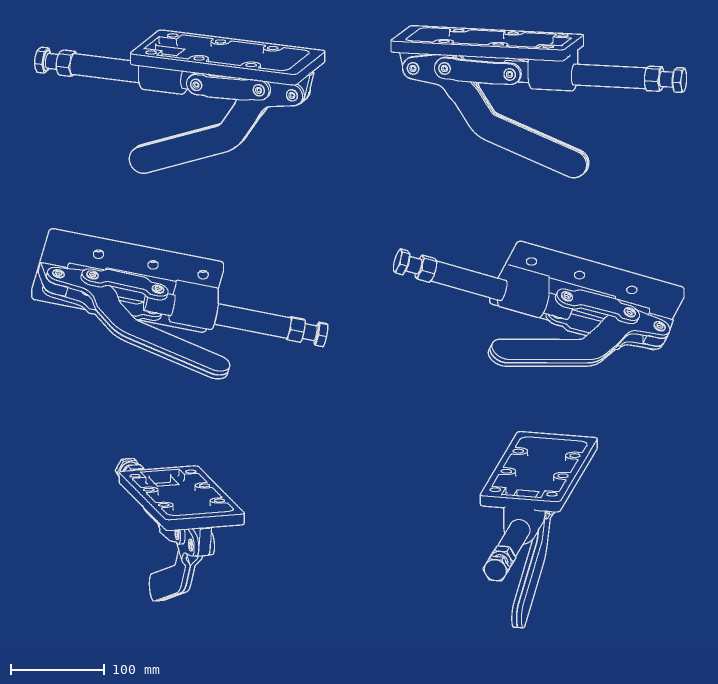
import cadquery as cq
import math


hex_flats = 24.2
hex_corners = hex_flats / math.cos(math.pi / 6)
head_length = 9.0
collar_radius = 11.0
collar_length = 2.0
collar_chamfer = 1.0
shank_radius = 8.2
nut_start = 24.8
nut_length = 15.7
hex_end_radius = 12.0
hex_end_clearance = 0.3
head_chamfer = 1.0
nut_chamfer = 1.3
plunger_radius = 11.3
plunger_overrun = 9.5

plate_start = 121.0
plate_length = 191.8
plate_width = 88.0
plate_top = 35.0
plate_thickness = 12.5
plate_bottom = plate_top - plate_thickness
plate_end = plate_start + plate_length
plate_corner = 5.0
casting_fillet = 2.0
hole_diameter = 11.0
hole_columns = (141.5, 196.5, 256.5)
hole_row = 30.9

pocket_start = 150.0
pocket_end = 299.0
pocket_half_width = 36.7
pocket_depth = 7.0
pocket_corner = 10.0
hole_wall_radius = 10.0
neck_start = 129.5
neck_half_width = 21.3
well_end = 163.2
well_half_width = 12.0
well_depth = 7.0

block_length = 46.5
block_radius = 17.73
block_end = plate_start + block_length
pad_bottom = 17.5
wide_pad_end = 244.5
wide_pad_half_width = 15.7
narrow_pad_half_width = 12.5
narrow_pad_end = 284.7
bracket_start = 283.7
bracket_end = 314.0
bracket_radius = 12.5
overlap = 3.0

plunger_pivot = (187.7, 0.0)
link_pivot = (259.5, 2.8)
bracket_pivot = (295.5, 0.0)
pin_head_radius = 6.3
pin_head_height = 1.3
pin_socket_radius = 3.5
pin_socket_depth = 3.0

leaf_thickness = 5.0
leaf_gap = 0.5
arm_inner = leaf_gap / 2
fork_inner = 6.3
fork_outer = fork_inner + leaf_thickness
grip_radius = 14.8
grip_end = (120.8, -96.7)
elbow = (219.0, -59.0)
neck_angle = math.radians(56.8)
elbow_radius = 11.0
crook_radius = 15.7
belly_angle = math.radians(9)
fold_start = 37.5
fold_length = 9.7
fold_bend_radius = 3.8
tail_radius = 12.0
link_radius = 11.3
link_end_outer = fork_outer + leaf_thickness
link_bulge = 4.5
bulge_start = 8.8
bulge_end = 62.0
bulge_rise = 6.3
link_bend_radius = 2.5
sheet_reach = 251.0


def box(x0, x1, half_width, z0, z1):
    """Block centred on Y = 0."""
    size = (x1 - x0, 2 * half_width, z1 - z0)
    return cq.Workplane("XY").box(*size, centered=(False, True, False)).translate((x0, 0, z0))


def rod(x0, x1, radius):
    return cq.Workplane("YZ", origin=(x0, 0, 0)).circle(radius).extrude(x1 - x0)


def hexagon(x0, length, chamfer_start, chamfer_end):
    """Hexagonal prism whose corners are turned down at either end."""
    blank_radius = hex_corners / 2 + hex_end_clearance
    blank = rod(x0, x0 + length, blank_radius)
    drop = blank_radius - hex_end_radius
    if chamfer_start:
        blank = blank.faces("<X").chamfer(chamfer_start, drop)
    if chamfer_end:
        blank = blank.faces(">X").chamfer(chamfer_end, drop)
    prism = cq.Workplane("YZ", origin=(x0, 0, 0)).polygon(6, hex_corners).extrude(length)
    return prism.intersect(blank)


def make_plunger():
    head = hexagon(0, head_length, head_chamfer, 0)
    collar_end = head_length + collar_length
    collar = rod(head_length, collar_end, collar_radius)
    collar = collar.faces(">X").chamfer(collar_chamfer, collar_radius - shank_radius)
    shank = rod(collar_end, nut_start, shank_radius)
    nut = hexagon(nut_start, nut_length, nut_chamfer, nut_chamfer)
    bar = rod(nut_start + nut_length, plunger_pivot[0] + plunger_overrun, plunger_radius)
    return head.union(collar).union(shank).union(nut).union(bar)


def make_pocket():
    """Solid removed from the plate top, leaving a wall round each screw hole."""
    floor = plate_top - pocket_depth
    main = box(pocket_start, pocket_end, pocket_half_width, floor, plate_top)
    main = main.edges("|Z and >X").fillet(pocket_corner)
    neck = box(neck_start, pocket_start + overlap, neck_half_width, floor, plate_top)
    pocket = main.union(neck)
    web_length = plate_width / 2 - hole_row
    for x in hole_columns[1:]:
        for side in (-1, 1):
            wall = cq.Workplane("XY", origin=(x, side * hole_row, floor)).circle(hole_wall_radius)
            web = box(x - hole_wall_radius, x + hole_wall_radius, web_length / 2, floor, plate_top)
            web = web.translate((0, side * (hole_row + web_length / 2), 0))
            pocket = pocket.cut(wall.extrude(pocket_depth)).cut(web)
    margin = casting_fillet / 2
    for side in (-1, 1):
        wall_corners = cq.selectors.BoxSelector(
            (pocket_start - margin, side * (pocket_half_width - margin), floor),
            (hole_columns[-1] + pocket_corner + margin, side * (pocket_half_width + margin), plate_top),
        )
        pocket = pocket.edges("|Z").edges(wall_corners).fillet(casting_fillet)
    return pocket.faces("<Z").edges().fillet(casting_fillet)


def make_pad(x0, x1, half_width):
    pad = box(x0, x1, half_width, pad_bottom, plate_bottom)
    return pad.edges("<Z or (|Z and >X)").fillet(casting_fillet)


def make_base():
    plate = box(plate_start, plate_end, plate_width / 2, plate_bottom, plate_top)
    plate = plate.edges("|Z").fillet(plate_corner)
    plate = plate.faces("<Z").edges().fillet(casting_fillet)
    block = box(plate_start, block_end, block_radius, 0, plate_top - pocket_depth)
    block = block.union(rod(plate_start, block_end, block_radius))
    block = block.faces("<X or >X").edges("not >Z").fillet(casting_fillet)
    wide_pad = make_pad(block_end - overlap, wide_pad_end, wide_pad_half_width)
    narrow_pad = make_pad(wide_pad_end - overlap, narrow_pad_end, narrow_pad_half_width)
    base = plate.union(block).union(wide_pad).union(narrow_pad)
    base = base.cut(make_pocket())
    well = box(neck_start, well_end, well_half_width, plate_top - pocket_depth - well_depth, plate_top)
    base = base.cut(well.faces("<Z").edges("not <X").fillet(casting_fillet))
    holes = cq.Workplane("XY", origin=(0, 0, plate_bottom))
    holes = holes.pushPoints([(x, side * hole_row) for x in hole_columns for side in (-1, 1)])
    return base.cut(holes.circle(hole_diameter / 2).extrude(plate_thickness))


def direction(angle):
    return (math.cos(angle), math.sin(angle))


def offset(point, angle, distance):
    """Point reached from another by going a distance at an angle in the XZ plane."""
    ux, uz = direction(angle)
    return (point[0] + distance * ux, point[1] + distance * uz)


def meet(point_a, angle_a, point_b, angle_b):
    """Crossing of two lines in the XZ plane, each given by a point and an angle."""
    ax, az = direction(angle_a)
    bx, bz = direction(angle_b)
    dx = point_b[0] - point_a[0]
    dz = point_b[1] - point_a[1]
    return offset(point_a, angle_a, (dx * bz - dz * bx) / (ax * bz - az * bx))


def angle_between(start, end):
    return math.atan2(end[1] - start[1], end[0] - start[0])


def near(point):
    """Selects the edge closest to a point of the XZ plane."""
    return cq.selectors.NearestToPointSelector((point[0], 0, point[1]))


def make_bracket():
    """Lug between the handle leaves, rounded about the fixed pivot."""
    x, z = bracket_pivot
    tip = (bracket_end, plate_bottom)
    reach = math.dist(tip, bracket_pivot)
    tangent_normal = angle_between(bracket_pivot, tip) - math.acos(bracket_radius / reach)
    middle_normal = (tangent_normal - math.pi / 2) / 2
    lug = (
        cq.Workplane("XZ")
        .moveTo(bracket_start, plate_bottom)
        .lineTo(*tip)
        .lineTo(*offset(bracket_pivot, tangent_normal, bracket_radius))
        .threePointArc(offset(bracket_pivot, middle_normal, bracket_radius), (x, z - bracket_radius))
        .lineTo(bracket_start, z - bracket_radius)
        .close()
    )
    return lug.extrude(fork_inner, both=True)


def bent_leaf(outline, origin, angle, stations, bend_radius):
    """Mirrored pair of bent sheets cut to an outline; stations are (distance, inner Y) along the sheet."""
    along, up = direction(angle)
    plane = cq.Plane(origin=(origin[0], 0, origin[1]), xDir=(along, 0, up), normal=(-up, 0, along))
    middle = [plane.toWorldCoords((distance, y + leaf_thickness / 2)) for distance, y in stations]
    middle_wire = cq.Wire.makePolygon(middle)
    bends = middle_wire.Vertices()
    middle_wire = middle_wire.fillet(bend_radius + leaf_thickness / 2, bends[1:-1])
    section = middle_wire.offset2D(leaf_thickness / 2)[0]
    sheet = cq.Workplane(plane).add(section).toPending().extrude(sheet_reach, both=True)
    leaf = sheet.intersect(outline)
    return leaf.union(leaf.mirror("XZ"))


def make_handle_outline():
    """Handle seen from the side: round grip, elbow, neck and a head about two pivots."""
    quarter = math.pi / 2
    grip_angle = angle_between(grip_end, elbow)
    grip_top = offset(grip_end, grip_angle + quarter, grip_radius)
    grip_tip = offset(grip_end, grip_angle + math.pi, grip_radius)
    grip_bottom = offset(grip_end, grip_angle - quarter, grip_radius)
    neck_left = offset(elbow, neck_angle + quarter, grip_radius)
    neck_right = offset(elbow, neck_angle - quarter, grip_radius)
    inner_elbow = meet(grip_top, grip_angle, neck_left, neck_angle)
    outer_elbow = meet(grip_bottom, grip_angle, neck_right, neck_angle)

    crown_foot = meet(neck_left, neck_angle, link_pivot, neck_angle + quarter)
    crown_radius = math.dist(crown_foot, link_pivot)
    pivot_spacing = math.dist(link_pivot, bracket_pivot)
    ridge_normal = angle_between(link_pivot, bracket_pivot)
    ridge_normal += math.acos((crown_radius - tail_radius) / pivot_spacing)
    crown_middle = (neck_angle + quarter + ridge_normal) / 2
    belly_normal = belly_angle - quarter
    tail_bottom = offset(bracket_pivot, belly_normal, tail_radius)
    crook = meet(tail_bottom, belly_angle, neck_right, neck_angle)

    outline = (
        cq.Workplane("XZ")
        .moveTo(*grip_bottom)
        .threePointArc(grip_tip, grip_top)
        .lineTo(*inner_elbow)
        .lineTo(*crown_foot)
        .threePointArc(
            offset(link_pivot, crown_middle, crown_radius),
            offset(link_pivot, ridge_normal, crown_radius),
        )
        .lineTo(*offset(bracket_pivot, ridge_normal, tail_radius))
        .threePointArc(
            offset(bracket_pivot, (ridge_normal + belly_normal) / 2, tail_radius),
            tail_bottom,
        )
        .lineTo(*crook)
        .lineTo(*outer_elbow)
        .close()
        .extrude(link_end_outer, both=True)
    )
    corners = (
        (inner_elbow, elbow_radius),
        (outer_elbow, elbow_radius + 2 * grip_radius),
        (crook, crook_radius),
    )
    for corner, radius in corners:
        outline = outline.edges("|Y").edges(near(corner)).fillet(radius)
    return outline


def make_handle():
    stations = [
        (-sheet_reach, arm_inner),
        (fold_start, arm_inner),
        (fold_start + fold_length, fork_inner),
        (sheet_reach, fork_inner),
    ]
    return bent_leaf(make_handle_outline(), elbow, neck_angle, stations, fold_bend_radius)


def make_links():
    angle = angle_between(plunger_pivot, link_pivot)
    length = math.dist(plunger_pivot, link_pivot)
    middle = offset(plunger_pivot, angle, length / 2)
    outline = cq.Workplane("XZ").center(*middle)
    outline = outline.slot2D(length + 2 * link_radius, 2 * link_radius, math.degrees(angle))
    outline = outline.extrude(sheet_reach, both=True)
    bulge_inner = fork_outer + link_bulge
    stations = [
        (-sheet_reach, fork_outer),
        (bulge_start, fork_outer),
        (bulge_start + bulge_rise, bulge_inner),
        (bulge_end - bulge_rise, bulge_inner),
        (bulge_end, fork_outer),
        (sheet_reach, fork_outer),
    ]
    return bent_leaf(outline, plunger_pivot, angle, stations, link_bend_radius)


def make_pin(pivot, seat):
    """Pivot pin standing proud of the seat on each side, with a conical socket in each head."""
    end = seat + pin_head_height
    pin = cq.Workplane("XZ").center(*pivot).circle(pin_head_radius).extrude(end, both=True)
    for side in (-1, 1):
        mouth = cq.Vector(pivot[0], side * end, pivot[1])
        inward = cq.Vector(0, -side, 0)
        socket = cq.Solid.makeCone(pin_socket_radius, 0, pin_socket_depth, mouth, inward)
        pin = pin.cut(cq.Workplane(socket))
    return pin


result = make_base().union(make_bracket()).union(make_handle()).union(make_links()).union(make_plunger())
for pivot, seat in (
    (plunger_pivot, link_end_outer),
    (link_pivot, link_end_outer),
    (bracket_pivot, fork_outer),
):
    result = result.union(make_pin(pivot, seat))